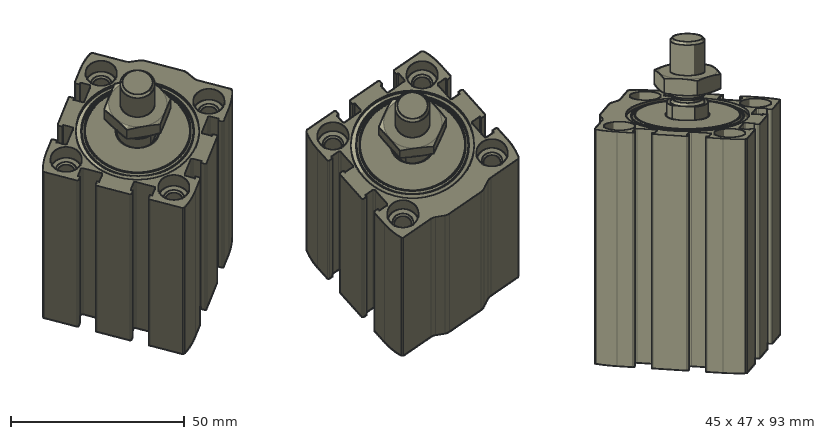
import cadquery as cq
import math

overall_height = 93.0
housing_height = 70.0
half_width = 22.5
corner_half_width = 21.5
corner_arc_start = 15.6
corner_edge_chamfer = 0.5
pad_reach = 24.5
pad_half_top = 6.5
pad_half_foot = 10.2
pad_round = 3.1

slot_spacing = 16.0
slot_mouth = 5.1
slot_width = 6.5
slot_lip = 1.6
slot_depth = 4.7
slot_round = 0.5

bolt_spacing = 32.55
bolt_diameter = 4.9
bolt_mouth_diameter = 6.0
bolt_recess_diameter = 9.0
bolt_recess_depth = 5.2

groove_diameter = 35.4
groove_wall_depth = 0.9
groove_outer_slope_top = 0.2
groove_floor_depth = 0.6
groove_outer_gap_diameter = 32.55
groove_inner_slope_diameter = 32.0
groove_inner_gap_diameter = 30.7
groove_inner_diameter = 30.1

rod_diameter = 12.0
rod_flats = 10.0
rod_shoulder = 73.8
rod_socket_chamfer = 0.4
rod_socket_depth = 9.3
flats_recess = 1.9
thread_diameter = 10.0
thread_start = 76.3
thread_end_diameter = 8.65
thread_chamfer_height = 0.8
neck_diameter = 8.1
neck_slope_height = 0.7

nut_flats = 17.0
nut_thickness = 5.0
nut_bottom = 78.0
nut_face_diameter = 16.7
nut_chamfer_angle = 15.0
hexagon_half_angle = 30.0


def housing_profile():
    """Solid block with curved corner sides and a raised pad on the back."""
    inset = corner_half_width - corner_edge_chamfer
    edge = half_width - corner_edge_chamfer
    arc_run = edge - corner_arc_start
    arc_drop = half_width - corner_half_width
    arc_radius = (arc_run**2 + arc_drop**2) / (2 * arc_drop)
    arc_mid = corner_arc_start + arc_run / 2
    arc_mid_x = half_width - arc_radius + math.sqrt(arc_radius**2 - (arc_run / 2) ** 2)
    half = (
        cq.Workplane("XY")
        .moveTo(0, -half_width)
        .lineTo(inset, -half_width)
        .lineTo(corner_half_width, -edge)
        .threePointArc((arc_mid_x, -arc_mid), (half_width, -corner_arc_start))
        .lineTo(half_width, corner_arc_start)
        .threePointArc((arc_mid_x, arc_mid), (corner_half_width, edge))
        .lineTo(inset, half_width)
        .lineTo(pad_half_foot, half_width)
        .lineTo(pad_half_top, pad_reach)
        .lineTo(0, pad_reach)
        .close()
        .extrude(housing_height)
    )
    block = half.union(half.mirror("YZ")).clean()
    pad_corners = cq.selectors.BoxSelector(
        (-pad_half_foot - pad_round, half_width - pad_round, 0),
        (pad_half_foot + pad_round, pad_reach + pad_round, housing_height),
    )
    return block.edges("|Z").edges(pad_corners).fillet(pad_round)


def slot_cutter():
    """T-slot in the +X face, centred on the X axis."""
    floor = half_width - slot_depth
    throat = half_width - slot_lip
    wall = slot_width / 2
    lip = slot_mouth / 2
    return (
        cq.Workplane("XY")
        .moveTo(floor, slot_round - wall)
        .lineTo(floor, wall - slot_round)
        .radiusArc((floor + slot_round, wall), slot_round)
        .lineTo(throat, wall)
        .lineTo(throat, lip)
        .lineTo(half_width - slot_round, lip)
        .radiusArc((half_width, lip + slot_round), -slot_round)
        .lineTo(half_width, -lip - slot_round)
        .radiusArc((half_width - slot_round, -lip), -slot_round)
        .lineTo(throat, -lip)
        .lineTo(throat, -wall)
        .lineTo(floor + slot_round, -wall)
        .radiusArc((floor, slot_round - wall), slot_round)
        .close()
        .extrude(housing_height)
    )


def bolt_cutter():
    """Through hole with a conical mouth under a flat-bottomed recess."""
    recess_floor = housing_height - bolt_recess_depth
    bolt_radius = bolt_diameter / 2
    mouth_radius = bolt_mouth_diameter / 2
    recess_radius = bolt_recess_diameter / 2
    return (
        cq.Workplane("XZ")
        .lineTo(bolt_radius, 0)
        .lineTo(bolt_radius, recess_floor - (mouth_radius - bolt_radius))
        .lineTo(mouth_radius, recess_floor)
        .lineTo(recess_radius, recess_floor)
        .lineTo(recess_radius, housing_height)
        .lineTo(0, housing_height)
        .close()
        .revolve(360, (0, 0), (0, 1))
    )


def groove_cutter():
    """Ring groove with an outer wall, two slopes that rise inward and a gap inside each."""
    top = housing_height
    return (
        cq.Workplane("XZ")
        .moveTo(groove_inner_diameter / 2, top)
        .lineTo(groove_inner_diameter / 2, top - groove_floor_depth)
        .lineTo(groove_inner_gap_diameter / 2, top - groove_floor_depth)
        .lineTo(groove_inner_gap_diameter / 2, top)
        .lineTo(groove_inner_slope_diameter / 2, top - groove_floor_depth)
        .lineTo(groove_outer_gap_diameter / 2, top - groove_floor_depth)
        .lineTo(groove_outer_gap_diameter / 2, top - groove_outer_slope_top)
        .lineTo(groove_diameter / 2, top - groove_wall_depth)
        .lineTo(groove_diameter / 2, top)
        .close()
        .revolve(360, (0, 0), (0, 1))
    )


def rod_socket_cutter():
    """Blind hole that fits the rod, with a chamfered mouth."""
    top = housing_height
    rod_radius = rod_diameter / 2
    return (
        cq.Workplane("XZ")
        .moveTo(0, top - rod_socket_depth)
        .lineTo(rod_radius, top - rod_socket_depth)
        .lineTo(rod_radius, top - rod_socket_chamfer)
        .lineTo(rod_radius + rod_socket_chamfer, top)
        .lineTo(0, top)
        .close()
        .revolve(360, (0, 0), (0, 1))
    )


def make_housing():
    """Slotted block with bolt holes, ring groove and rod socket."""
    side_and_front_turns = (0, 180, -90)
    housing = housing_profile()
    for turn in side_and_front_turns:
        for offset in (-slot_spacing / 2, slot_spacing / 2):
            slot = slot_cutter().translate((0, offset, 0)).rotate((0, 0, 0), (0, 0, 1), turn)
            housing = housing.cut(slot)
    for x in (-bolt_spacing / 2, bolt_spacing / 2):
        for y in (-bolt_spacing / 2, bolt_spacing / 2):
            housing = housing.cut(bolt_cutter().translate((x, y, 0)))
    housing = housing.cut(groove_cutter())
    return housing.cut(rod_socket_cutter())


def make_rod():
    """Thick rod with two flats, a relief neck and a plain threaded end."""
    rod_radius = rod_diameter / 2
    thread_radius = thread_diameter / 2
    neck_radius = neck_diameter / 2
    end_radius = thread_end_diameter / 2
    chamfer_bottom = thread_start - thread_chamfer_height
    rod_bottom = housing_height - rod_socket_depth
    rod = (
        cq.Workplane("XZ")
        .moveTo(0, rod_bottom)
        .lineTo(rod_radius, rod_bottom)
        .lineTo(rod_radius, rod_shoulder)
        .lineTo(thread_radius, rod_shoulder)
        .lineTo(neck_radius, rod_shoulder + neck_slope_height)
        .lineTo(neck_radius, chamfer_bottom)
        .lineTo(end_radius, chamfer_bottom)
        .lineTo(thread_radius, thread_start)
        .lineTo(thread_radius, overall_height - thread_chamfer_height)
        .lineTo(end_radius, overall_height)
        .lineTo(0, overall_height)
        .close()
        .revolve(360, (0, 0), (0, 1))
    )
    flats_bottom = housing_height - flats_recess
    flats_height = rod_shoulder - flats_bottom
    for side in (1, -1):
        waste = (
            cq.Workplane("XY")
            .box(rod_diameter, 2 * rod_diameter, flats_height, centered=(True, True, False))
            .translate((side * (rod_flats + rod_diameter) / 2, 0, flats_bottom))
        )
        rod = rod.cut(waste)
    return rod


def make_nut():
    """Hexagon nut with corners on Y, chamfered on both faces."""
    corner_diameter = nut_flats / math.cos(math.radians(hexagon_half_angle))
    corner_radius = corner_diameter / 2
    face_radius = nut_face_diameter / 2
    chamfer_drop = (corner_radius - face_radius) * math.tan(math.radians(nut_chamfer_angle))
    hexagon = (
        cq.Workplane("XY")
        .polygon(6, corner_diameter)
        .circle(thread_diameter / 2)
        .extrude(nut_thickness)
        .rotate((0, 0, 0), (0, 0, 1), hexagon_half_angle)
    )
    envelope = (
        cq.Workplane("XZ")
        .lineTo(face_radius, 0)
        .lineTo(corner_radius, chamfer_drop)
        .lineTo(corner_radius, nut_thickness - chamfer_drop)
        .lineTo(face_radius, nut_thickness)
        .lineTo(0, nut_thickness)
        .close()
        .revolve(360, (0, 0), (0, 1))
    )
    return hexagon.intersect(envelope).translate((0, 0, nut_bottom))


housing = make_housing()
rod = make_rod()
nut = make_nut()

result = cq.Compound.makeCompound([housing.val(), rod.val(), nut.val()])